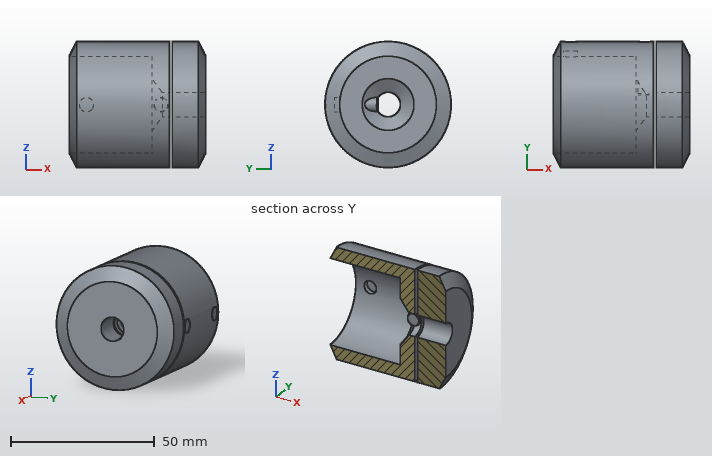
import cadquery as cq

total_length = 47.7
outer_diameter = 44.0
outer_radius = outer_diameter / 2
sleeve_length = 35.0
gap = 0.9

bevel_length = 2.65
bevel_end_radius = 16.85

socket_depth = 28.85
cone_mouth_radius = 9.0
through_radius = 4.25
cone_length = 3.55
cone_end = socket_depth + cone_length

screw_radius = 2.5
front_screw_x = 6.0
rear_screw_x = 32.0
outer_recess_depth = 0.25
inner_pocket_floor = 18.7
screw_tip_y = 3.5
tip_chamfer_length = 0.4
tip_chamfer_width = 0.2


def revolve_about_x(profile_points):
    """Revolve an (axial position, radius) outline about the X axis."""
    return cq.Workplane("XY").polyline(profile_points).close().revolve(360, (0, 0, 0), (1, 0, 0))


def radial_cylinder(x, y_start, y_end):
    """Screw-sized cylinder along +Y."""
    return (
        cq.Workplane("XZ", origin=(x, y_start, 0))
        .circle(screw_radius)
        .extrude(y_start - y_end)
    )


def make_sleeve():
    sleeve = revolve_about_x([
        (0, bevel_end_radius),
        (bevel_length, outer_radius),
        (sleeve_length, outer_radius),
        (sleeve_length, through_radius),
        (cone_end, through_radius),
        (socket_depth, cone_mouth_radius),
        (socket_depth, bevel_end_radius),
    ])

    screw_base_y = (cone_mouth_radius + outer_radius) / 2
    screw_tip = (
        radial_cylinder(rear_screw_x, screw_tip_y, screw_base_y)
        .faces("<Y")
        .chamfer(tip_chamfer_length, tip_chamfer_width)
    )
    sleeve = sleeve.union(screw_tip)

    recess_floor = outer_radius - outer_recess_depth
    for x in (front_screw_x, rear_screw_x):
        sleeve = sleeve.cut(radial_cylinder(x, recess_floor, outer_radius))

    return sleeve.cut(radial_cylinder(front_screw_x, 0, inner_pocket_floor))


def make_end_ring():
    return revolve_about_x([
        (sleeve_length + gap, through_radius),
        (sleeve_length + gap, outer_radius),
        (total_length - bevel_length, outer_radius),
        (total_length, bevel_end_radius),
        (total_length, through_radius),
    ])


sleeve = make_sleeve()
end_ring = make_end_ring()
result = cq.Compound.makeCompound([sleeve.val(), end_ring.val()])